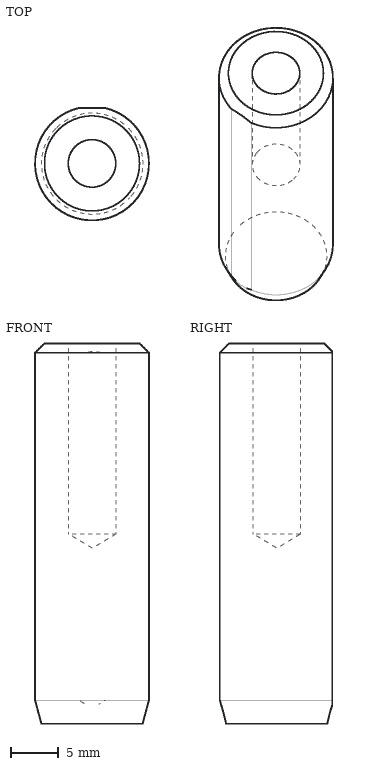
import math

import cadquery as cq

pin_diameter = 12.0
pin_length = 40.0
top_chamfer = 1.0
lead_length = 2.5
lead_angle = 15.0
bore_diameter = 5.0
bore_depth = 20.0
drill_point_angle = 118.0
vent_flat_depth = 0.15

pin_radius = pin_diameter / 2
top_radius = pin_radius - top_chamfer
lead_radius = pin_radius - lead_length * math.tan(math.radians(lead_angle))
bore_radius = bore_diameter / 2
drill_point_height = bore_radius / math.tan(math.radians(drill_point_angle / 2))
bore_floor = pin_length - bore_depth
vent_flat_y = pin_radius - vent_flat_depth


def revolve_about_z(profile_points):
    """Turn a closed (radius, height) outline about the Z axis."""
    profile = cq.Workplane("XZ").polyline(profile_points).close()
    return profile.revolve(360, (0, 0, 0), (0, 1, 0))


def make_body():
    """Cylinder standing on Z = 0, with a tapered lead below and a chamfer on top."""
    return revolve_about_z([
        (0, 0),
        (lead_radius, 0),
        (pin_radius, lead_length),
        (pin_radius, pin_length - top_chamfer),
        (top_radius, pin_length),
        (0, pin_length),
    ])


def make_bore():
    """Blind extraction hole from the top face, ending in a drill point."""
    return revolve_about_z([
        (0, bore_floor - drill_point_height),
        (bore_radius, bore_floor),
        (bore_radius, pin_length),
        (0, pin_length),
    ])


def make_vent_flat():
    """Full-length slab whose inner face leaves a shallow flat on the +Y side."""
    slab = cq.Workplane("XY").box(pin_diameter, pin_radius, pin_length, centered=(True, False, False))
    return slab.translate((0, vent_flat_y, 0))


result = make_body().cut(make_bore()).cut(make_vent_flat())